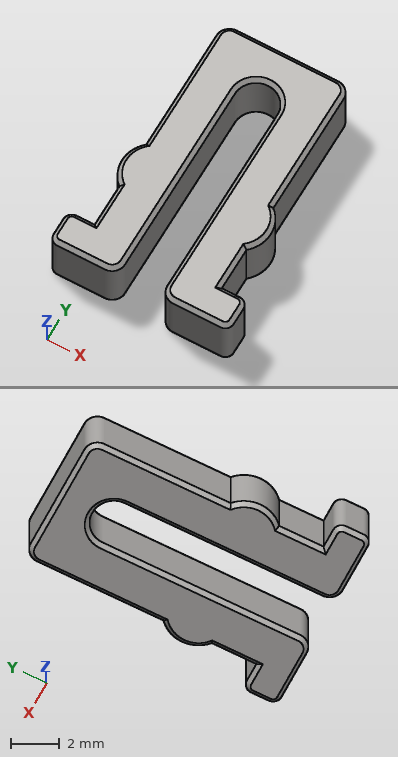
import cadquery as cq

length = 12.35
thickness = 2.9
foot_span = 8.5
foot_length = 1.6
body_width = 6.0

slot_width = 2.0
slot_depth = 10.75

bump_radius = 1.5
bump_span = 7.01
bump_y = 4.78

body_corner_radius = 0.6
foot_corner_radius = 0.4
edge_chamfer = 0.2


def block(width, depth):
    """Full-thickness block, centred in X, starting at Y = 0."""
    return cq.Workplane("XY").box(width, depth, thickness, centered=(True, False, False))


def make_body():
    """Plain bar with the two corners of its closed end rounded."""
    return block(body_width, length).edges("|Z and >Y").fillet(body_corner_radius)


def make_feet():
    """Crossbar whose ends form the two outward feet, rounded at the tips."""
    return block(foot_span, foot_length).edges("|Z").fillet(foot_corner_radius)


def make_bumps():
    """Pair of cylinders that stand out from the sides of the body."""
    bump_x = bump_span / 2 - bump_radius
    centers = [(-bump_x, bump_y), (bump_x, bump_y)]
    return cq.Workplane("XY").pushPoints(centers).circle(bump_radius).extrude(thickness)


def make_slot():
    """Straight slot with a semicircular closed end."""
    half_width = slot_width / 2
    straight_depth = slot_depth - half_width
    return (
        cq.Workplane("XY")
        .moveTo(-half_width, 0)
        .lineTo(-half_width, straight_depth)
        .threePointArc((0, slot_depth), (half_width, straight_depth))
        .lineTo(half_width, 0)
        .close()
        .extrude(thickness)
    )


def round_slot_mouth(part):
    """Round the two upright edges where the slot meets the foot end."""
    reach = slot_width / 2 + edge_chamfer
    mouth = cq.selectors.BoxSelector(
        (-reach, -edge_chamfer, 0), (reach, edge_chamfer, thickness)
    )
    return part.edges("|Z").edges(mouth).fillet(body_corner_radius)


clip = make_body().union(make_feet()).union(make_bumps()).cut(make_slot())
clip = round_slot_mouth(clip)

result = clip.faces("<Z or >Z").edges().chamfer(edge_chamfer)